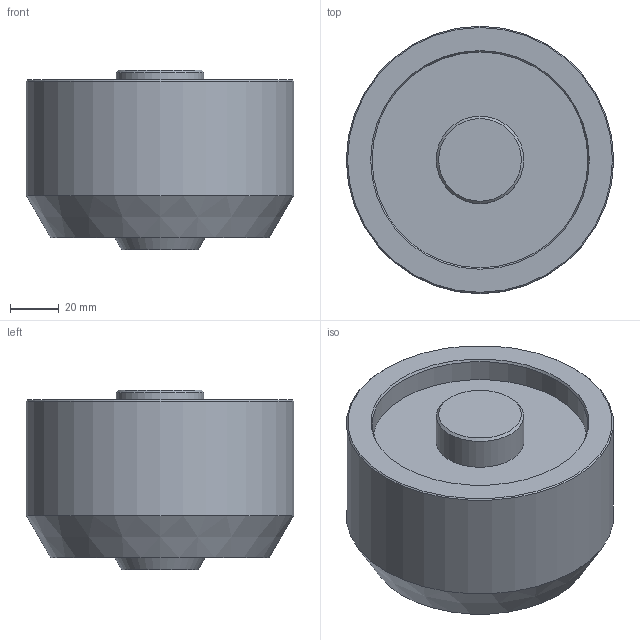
import cadquery as cq
import math

body_radius = 110 / 2
body_height = 65
cone_inset = 10
cone_angle = 60
rim_chamfer = 0.5

pocket_radius = 88.88 / 2
pocket_mouth_radius = 90 / 2
pocket_depth = 10

pin_radius = 36 / 2
pin_projection = 4
pin_chamfer = 1

stub_height = 5
stub_tip_radius = 31.5 / 2

cone_slope = math.tan(math.radians(cone_angle))
cone_height = cone_inset * cone_slope
stub_base_radius = stub_tip_radius + stub_height / cone_slope
pocket_floor = body_height - pocket_depth
pocket_lip = (pocket_mouth_radius - pocket_radius) * cone_slope


def make_body():
    """Cylinder with a chamfered rim and a conical lower end."""
    cylinder = cq.Workplane("XY").circle(body_radius).extrude(body_height)
    chamfered = cylinder.faces(">Z").chamfer(rim_chamfer)
    return chamfered.faces("<Z").edges().chamfer(cone_height, cone_inset)


def make_pocket():
    """Cutting tool for the pocket, widened at its mouth by a chamfer."""
    bore = cq.Workplane("XY").workplane(offset=pocket_floor).circle(pocket_radius).extrude(pocket_depth)
    mouth = cq.Solid.makeCone(
        pocket_radius,
        pocket_mouth_radius,
        pocket_lip,
        pnt=cq.Vector(0, 0, body_height - pocket_lip),
    )
    return bore.union(cq.Workplane(mouth))


def make_pin():
    """Pin rising from the pocket floor past the rim, with a chamfered top."""
    pin_height = pocket_depth + pin_projection
    pin = cq.Workplane("XY").workplane(offset=pocket_floor).circle(pin_radius).extrude(pin_height)
    return pin.faces(">Z").chamfer(pin_chamfer)


def make_stub():
    """Cone under the body, narrowing downwards."""
    stub = cq.Solid.makeCone(
        stub_tip_radius,
        stub_base_radius,
        stub_height,
        pnt=cq.Vector(0, 0, -stub_height),
    )
    return cq.Workplane(stub)


result = make_body().cut(make_pocket()).union(make_pin()).union(make_stub())